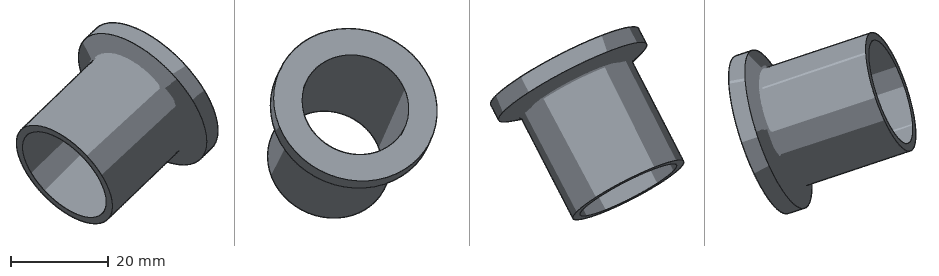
import cadquery as cq
import math

flange_diameter = 34.0
tube_diameter = 25.47
bore_diameter = 22.17
total_length = 28.7
rim_thickness = 3.65
cone_angle = 20.0
neck_fillet_radius = 0.7

flange_radius = flange_diameter / 2
tube_radius = tube_diameter / 2
bore_radius = bore_diameter / 2

cone_depth = (flange_radius - tube_radius) * math.tan(math.radians(cone_angle))
neck_y = -(rim_thickness + cone_depth)


def make_ferrule():
    """Revolve the wall section about Y; the flat flange face lies at Y = 0."""
    section = (
        cq.Workplane("XY")
        .moveTo(bore_radius, 0)
        .lineTo(flange_radius, 0)
        .lineTo(flange_radius, -rim_thickness)
        .lineTo(tube_radius, neck_y)
        .lineTo(tube_radius, -total_length)
        .lineTo(bore_radius, -total_length)
        .close()
    )
    return section.revolve(360, (0, 0, 0), (0, 1, 0))


def round_neck(body):
    """Fillet the inside corner between the sloping back and the tube."""
    neck_point = (tube_radius, neck_y, 0)
    neck_edge = cq.selectors.NearestToPointSelector(neck_point)
    return body.edges("%CIRCLE").edges(neck_edge).fillet(neck_fillet_radius)


result = round_neck(make_ferrule())